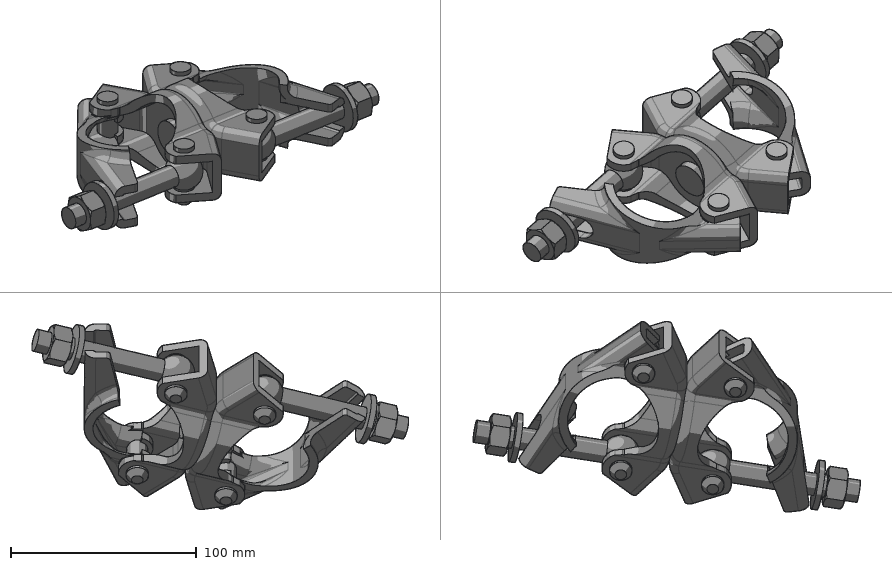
import cadquery as cq
import math


tube_radius = 24.4
tube_y = 35.5
pin_x = 32.5
pin_y = 25.2
pin_radius = 5.7
pick_margin = 0.2
far_reach = 126.0

sheet = 4.8
saddle_half_height = 14.5
cup_radius = 26.0
bend_radius = 5.0
neck_bend_radius = 13.6
ear_radius = 10.0
ear_side_offset = 8.5
ear_base_offset = 19.3
ear_angle = 31.0
fold_mid_y = 10.5
pin_head_top = 17.0
pin_collar_radius = 6.0
pin_collar_bottom = -16.0
pin_tip_radius = 3.2
pin_bottom = -19.3

rivet_radius = 6.3
rivet_head_radius = 9.7
rivet_head_height = 4.2

band_x = 0.5
band_y = 36.0
band_radius = 29.0
band_end_half_height = 19.7
band_end_x = 24.2
band_middle_half_height = 16.5
band_hinge_half_height = 9.2
band_hinge_x = -30.5
hinge_arm_end = (-51.7, 30.5)
hinge_arm_depth = 15.8
hinge_arm_half_height = 9.0
hinge_arm_round = 6.0
hinge_boss_radius = 8.5
ear_clearance = 0.2
bolt_arm_end = (40.5, 79.5)
bolt_arm_depth = 13.5
bolt_arm_toe_radius = 2.0
bolt_arm_half_height = 13.0
bolt_arm_round = 5.9
band_lip = (19.1, 52.7)
bolt_slot_half_width = 7.4
bolt_slot_start_x = 16.8

bolt_radius = 6.0
bolt_end_y = 105.0
eye_radius = 10.3
washer_radius = 13.5
washer_y = 81.3
washer_thickness = 3.2
nut_y = 87.0
nut_height = 10.7
nut_flats = 19.1
nut_bevel_length = 0.8


def upright_cylinder(x, y, radius, bottom, top):
    return cq.Workplane("XY", origin=(x, y, bottom)).circle(radius).extrude(top - bottom)


def y_cylinder(x, radius, start, end):
    return cq.Workplane("XZ", origin=(x, start, 0)).circle(radius).extrude(start - end)


def plate(points, half_height):
    return cq.Workplane("XY").polyline(points).close().extrude(half_height, both=True)


def tube_bore():
    return upright_cylinder(0, tube_y, tube_radius, -far_reach, far_reach)


def mirrored(body):
    return body.mirror("XZ")


slope = math.radians(ear_angle)
along_base = (math.cos(slope), math.sin(slope))
across_base = (-math.sin(slope), math.cos(slope))


def ear_point(along, across):
    """Point relative to the +X pin, measured along and across the ear base."""
    x = pin_x + along * along_base[0] + across * across_base[0]
    y = pin_y + along * along_base[1] + across * across_base[1]
    return (x, y)


def flipped(point):
    return (-point[0], point[1])


def neck_x(inset):
    tip = ear_point(ear_side_offset, inset - ear_base_offset)
    return tip[0] - (tip[1] - inset) / math.tan(slope)


def cup_section(inset):
    """Bar along Y whose section is the round cup blended into the flat ears."""
    height = saddle_half_height - inset
    bar = cq.Workplane("XZ").rect(far_reach, 2 * height).extrude(-tube_y)
    bar = bar.union(y_cylinder(0, cup_radius - inset, 0, tube_y))
    seams = cq.selectors.BoxSelector((-cup_radius, 0, -cup_radius), (cup_radius, tube_y, cup_radius))
    return bar.edges("|Y").edges(seams).fillet(bend_radius + inset)


def bend_neck(outline, inset):
    neck = cq.selectors.BoxSelector((-far_reach, inset - pick_margin, -far_reach),
                                    (far_reach, inset + pick_margin, far_reach))
    return outline.edges("|Z").edges(neck).fillet(neck_bend_radius - inset)


def saddle_outside():
    neck = (neck_x(0), 0)
    tip = ear_point(ear_side_offset, -ear_base_offset)
    side_top = ear_point(ear_side_offset, math.sqrt(ear_radius ** 2 - ear_side_offset ** 2))
    ear_top = (pin_x, pin_y + ear_radius)
    ear_inner = (pin_x - ear_radius, pin_y)
    outline = (
        cq.Workplane("XY").moveTo(*neck).lineTo(*tip).lineTo(*side_top)
        .threePointArc(ear_top, ear_inner)
        .lineTo(*flipped(ear_inner))
        .threePointArc(flipped(ear_top), flipped(side_top))
        .lineTo(*flipped(tip)).lineTo(*flipped(neck)).close()
        .extrude(2 * cup_radius, both=True)
    )
    body = bend_neck(outline, 0).intersect(cup_section(0))
    for side in (-1, 1):
        folds = cq.selectors.BoxSelector((-far_reach, -pick_margin, side * saddle_half_height / 2),
                                         (far_reach, fold_mid_y, side * 2 * cup_radius))
        body = body.edges(folds).fillet(bend_radius)
    return body


def saddle_inside():
    base_far = ear_point(far_reach, sheet - ear_base_offset)
    neck = (neck_x(sheet), sheet)
    outline = plate([neck, base_far, flipped(base_far), flipped(neck)], 2 * cup_radius)
    return bend_neck(outline, sheet).intersect(cup_section(sheet))


def hinge_pin(x):
    profile = [
        (0, pin_bottom), (pin_tip_radius, pin_bottom), (pin_collar_radius, pin_collar_bottom),
        (pin_collar_radius, -saddle_half_height), (pin_radius, -saddle_half_height),
        (pin_radius, pin_head_top), (0, pin_head_top),
    ]
    pin = cq.Workplane("XZ").polyline(profile).close().revolve(360, (0, 0), (0, 1))
    return pin.translate((x, pin_y, 0))


def make_saddle():
    body = saddle_outside().cut(saddle_inside()).cut(tube_bore())
    body = body.cut(y_cylinder(0, rivet_radius, -sheet, tube_y))
    for x in (-pin_x, pin_x):
        body = body.union(hinge_pin(x))
    return body


def make_rivet():
    head_end = sheet + rivet_head_height
    body = y_cylinder(0, rivet_radius, -sheet, sheet)
    body = body.union(y_cylinder(0, rivet_head_radius, sheet, head_end))
    return body.union(y_cylinder(0, rivet_head_radius, -head_end, -sheet))


def arm_point(corner, inward, depth):
    """Point measured along an arm from its outer end corner, and square into the arm.

    The outer line of the arm is the tangent from the corner to the band.
    """
    dx = band_x - corner[0]
    dy = band_y - corner[1]
    side = math.copysign(1, dx)
    angle = math.atan2(dy, dx) + side * math.asin(band_radius / math.hypot(dx, dy))
    x = corner[0] + inward * math.cos(angle) + side * depth * math.sin(angle)
    y = corner[1] + inward * math.sin(angle) - side * depth * math.cos(angle)
    return (x, y)


def tangent_length(corner):
    return math.sqrt((corner[0] - band_x) ** 2 + (corner[1] - band_y) ** 2 - band_radius ** 2)


def rounded_arm(points, half_height, round_radius):
    """Arm with its long outer edges rounded; the first two points are its outer line."""
    middle = [(points[0][i] + points[1][i]) / 2 for i in (0, 1)]
    body = plate(points, half_height)
    for z in (-half_height, half_height):
        edge = cq.selectors.NearestToPointSelector((*middle, z))
        body = body.edges(edge).fillet(round_radius)
    return body


def hinge_arm():
    length = tangent_length(hinge_arm_end)
    points = [
        hinge_arm_end,
        arm_point(hinge_arm_end, length, 0),
        arm_point(hinge_arm_end, length, hinge_arm_depth),
        arm_point(hinge_arm_end, 0, hinge_arm_depth),
    ]
    return rounded_arm(points, hinge_arm_half_height, hinge_arm_round)


def bolt_arm_toe():
    return arm_point(bolt_arm_end, 0, bolt_arm_depth)


def bolt_arm():
    points = [
        bolt_arm_end,
        arm_point(bolt_arm_end, tangent_length(bolt_arm_end), 0),
        (band_x, band_y),
        band_lip,
        bolt_arm_toe(),
    ]
    arm = rounded_arm(points, bolt_arm_half_height, bolt_arm_round)
    toe = cq.selectors.NearestToPointSelector((*bolt_arm_toe(), 0))
    return arm.edges(toe).fillet(bolt_arm_toe_radius)


def arm_hollow(corner, half_height, round_radius):
    """Channel inside an arm, open at the arm end and towards the tube."""
    length = tangent_length(corner)
    points = [
        arm_point(corner, -sheet, sheet),
        arm_point(corner, length, sheet),
        arm_point(corner, length, band_radius),
        arm_point(corner, -sheet, band_radius),
    ]
    return rounded_arm(points, half_height - sheet, round_radius - sheet)


def band_disc(inset):
    """Solid disc inside the band, ending at the hinge and at the lip."""
    toe = bolt_arm_toe()
    left = band_x - far_reach
    sector = [(left, pin_y), (band_x, pin_y), (band_x, band_y), band_lip, toe,
              (toe[0], far_reach), (left, far_reach)]
    height = 2 * band_end_half_height
    disc = upright_cylinder(band_x, band_y, band_radius - inset, -height, height)
    return disc.intersect(plate(sector, height))


def blend_arms(body, inset):
    """Fillet the curved seams where the arms run into the disc."""
    reach = band_radius - inset
    height = bolt_arm_half_height
    seams = cq.selectors.BoxSelector((band_x - reach, pin_y, -height - pick_margin),
                                     (band_x + reach, far_reach, height + pick_margin))
    return body.edges("%CIRCLE or %BSPLINE").edges(seams).fillet(bend_radius + inset)


def flap_outside():
    return blend_arms(band_disc(0).union(hinge_arm()).union(bolt_arm()), 0)


def flap_inside():
    body = band_disc(sheet)
    body = body.union(arm_hollow(hinge_arm_end, hinge_arm_half_height, hinge_arm_round))
    body = body.union(arm_hollow(bolt_arm_end, bolt_arm_half_height, bolt_arm_round))
    return blend_arms(body, sheet)


def flap_height_limit():
    """Bar along Y that widens in a gentle curve from the hinge to the bolt."""
    corners = [(-far_reach, band_hinge_half_height), (band_hinge_x, band_hinge_half_height)]
    middle = (0, band_middle_half_height)
    end = (band_end_x, band_end_half_height)
    upper = (
        cq.Workplane("XZ").moveTo(-far_reach, 0).lineTo(*corners[0]).lineTo(*corners[1])
        .threePointArc(middle, end)
        .lineTo(far_reach, band_end_half_height).lineTo(far_reach, 0).close()
        .extrude(-far_reach)
    )
    return upper.union(upper.mirror("XY"))


def bolt_slot():
    start = bolt_slot_start_x + bolt_slot_half_width
    slot = y_cylinder(start, bolt_slot_half_width, band_y, bolt_end_y)
    opening = (
        cq.Workplane("XZ", origin=(0, band_y, 0))
        .center(start + far_reach / 2, 0)
        .rect(far_reach, 2 * bolt_slot_half_width).extrude(band_y - bolt_end_y)
    )
    return slot.union(opening)


def ear_relief():
    """Room for the two saddle ears above and below the hinge arm, open towards the tube."""
    radius = ear_radius + ear_clearance
    height = band_end_half_height - hinge_arm_half_height
    above = upright_cylinder(-pin_x, pin_y, radius, hinge_arm_half_height, band_end_half_height)
    tube_side = (
        cq.Workplane("XY", origin=(radius / 2 - pin_x, pin_y, hinge_arm_half_height))
        .rect(2 * radius, radius).extrude(height)
    )
    above = above.union(tube_side)
    return above.union(above.mirror("XY"))


def make_flap():
    height = hinge_arm_half_height
    boss = upright_cylinder(-pin_x, pin_y, hinge_boss_radius, -height, height)
    body = flap_outside().union(boss).intersect(flap_height_limit())
    body = body.cut(flap_inside()).cut(bolt_slot()).cut(ear_relief())
    return body.cut(upright_cylinder(-pin_x, pin_y, pin_radius, -far_reach, far_reach))


def make_nut():
    """Hexagon with points up and down, its corners bevelled at both ends."""
    corner_radius = nut_flats / math.sqrt(3)
    hexagon = (
        cq.Workplane("XZ").polygon(6, 2 * corner_radius).extrude(-nut_height)
        .rotate((0, 0, 0), (0, 1, 0), 30)
    )
    bevel = y_cylinder(0, corner_radius, 0, nut_height).faces("|Y").chamfer(
        nut_bevel_length, corner_radius - nut_flats / 2)
    return hexagon.intersect(bevel).translate((pin_x, nut_y, 0))


def make_bolt():
    shank = y_cylinder(pin_x, bolt_radius, pin_y, bolt_end_y)
    eye = cq.Workplane("XY").sphere(eye_radius).translate((pin_x, pin_y, 0))
    washer = y_cylinder(pin_x, washer_radius, washer_y, washer_y + washer_thickness)
    body = shank.union(eye).union(washer).union(make_nut())
    return body.cut(upright_cylinder(pin_x, pin_y, pin_radius, -far_reach, far_reach))


saddle = make_saddle()
flap = make_flap()
bolt = make_bolt()
rivet = make_rivet()

bodies = [rivet.val()]
for half in (saddle, flap, bolt):
    bodies.append(half.val())
    bodies.append(mirrored(half).val())

result = cq.Compound.makeCompound(bodies)